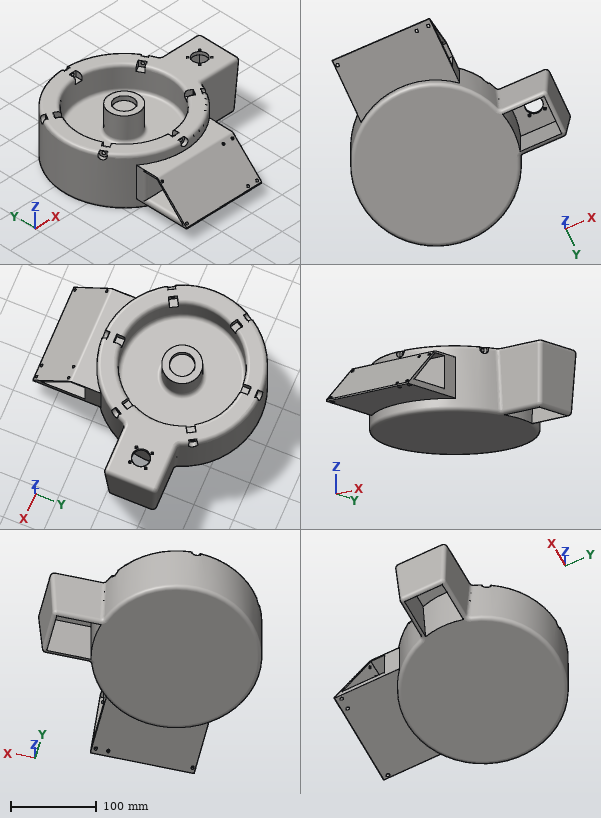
import cadquery as cq
import math

body_radius = 100.0
body_height = 80.0
edge_radius = 5.0

bowl_radius = 150.0 / 2
bowl_depth = body_height / 2
boss_radius = 48.0 / 2
boss_bore_diameter = 30.0
boss_bore_depth = 7.0

screw_count = 6
screw_first_angle = 30
screw_depth_below_rim = 3.5
screw_hole_diameter = 4.2
screw_head_diameter = 11.0
screw_seat_radius = 94.0
nut_notch_width = 10.5
nut_notch_outer_radius = 85.0
nut_notch_depth = 9.2

arm_reach = 159.5
arm_width = 68.3
arm_draft = 3
arm_wall = 5.0
arm_hole_x = 125.5
arm_hole_diameter = 22.0
arm_screw_spacing = 20.0
arm_screw_diameter = 3.2

console_left = -60.1
console_width = 125.0
console_height = 50
console_front = 162.5
console_tip_height = 1.97
console_wall = 2.5
console_opening_back = 91.5
panel_thickness_top = 2.23
panel_thickness_bottom = 3.5
panel_screw_diameter = 3.5
panel_screw_columns = (-56.5, 45.2, 60.1)
panel_screw_heights = (20.0, 60.5)
panel_screw_depth = 8

console_bottom = (body_height - console_height) / 2
console_top = console_bottom + console_height
panel_bend_y = -console_front + console_height - console_tip_height
tunnel_floor = console_bottom + console_wall + edge_radius
tunnel_ceiling = console_top - console_wall
tunnel_back_y = -console_opening_back - edge_radius


def box_between(low, high):
    size = [b - a for a, b in zip(low, high)]
    return cq.Workplane("XY", origin=low).box(*size, centered=False)


def arm_block(inset, top):
    """Arm from the body axis outward, with its walls moved in by inset and its top at the given height."""
    shrink = inset + (body_height - top) * math.tan(math.radians(arm_draft))
    block = (
        cq.Workplane("XY", origin=(0, 0, top))
        .rect(2 * (arm_reach - shrink), arm_width - 2 * shrink)
        .extrude(-top, taper=arm_draft)
    )
    return block.intersect(box_between((0, -arm_width, 0), (arm_reach, arm_width, body_height)))


def round_body():
    return cq.Workplane("XY").circle(body_radius).extrude(body_height)


def round_upright_edges(solid, x):
    """Rounds the two upright edges nearest to the arm's sides at the given x."""
    near, far = [
        cq.selectors.NearestToPointSelector((x, side * arm_width / 2, body_height / 2))
        for side in (-1, 1)
    ]
    return solid.edges(near + far).fillet(edge_radius)


def body_with_arm():
    arm = round_upright_edges(arm_block(0, body_height), arm_reach)
    junction_x = math.sqrt(body_radius**2 - (arm_width / 2) ** 2)
    solid = round_upright_edges(round_body().union(arm), junction_x)
    return solid.faces(">Z or <Z").edges().fillet(edge_radius)


def bowl():
    """Ring-shaped hollow with rounded floor corners and a rounded-over rim."""
    floor = body_height - bowl_depth
    return (
        cq.Workplane("XZ")
        .moveTo(boss_radius, body_height)
        .lineTo(boss_radius, floor + edge_radius)
        .radiusArc((boss_radius + edge_radius, floor), -edge_radius)
        .lineTo(bowl_radius - edge_radius, floor)
        .radiusArc((bowl_radius, floor + edge_radius), -edge_radius)
        .lineTo(bowl_radius, body_height - edge_radius)
        .radiusArc((bowl_radius + edge_radius, body_height), edge_radius)
        .close()
        .revolve(360, (0, 0, 0), (0, 1, 0))
    )


def boss_bore():
    top = cq.Workplane("XY", origin=(0, 0, body_height))
    return top.circle(boss_bore_diameter / 2).extrude(-boss_bore_depth)


def rim_screw():
    """Screw hole, head seat and nut notch, lying along +X."""
    axis = cq.Workplane("YZ", origin=(0, 0, body_height - screw_depth_below_rim))
    hole_length = body_radius - bowl_radius
    hole = axis.workplane(offset=bowl_radius).circle(screw_hole_diameter / 2).extrude(hole_length)
    head_seat = axis.workplane(offset=screw_seat_radius).circle(screw_head_diameter / 2)
    head = head_seat.extrude(body_radius - screw_seat_radius)
    half_notch = nut_notch_width / 2
    notch = box_between(
        (bowl_radius - edge_radius, -half_notch, body_height - nut_notch_depth),
        (nut_notch_outer_radius, half_notch, body_height),
    )
    return hole.union(head).union(notch)


def console():
    block = (
        cq.Workplane("YZ", origin=(console_left, 0, 0))
        .moveTo(0, console_bottom)
        .lineTo(-console_front, console_bottom)
        .lineTo(-console_front, console_bottom + console_tip_height)
        .lineTo(panel_bend_y, console_top)
        .lineTo(0, console_top)
        .close()
        .extrude(console_width)
    )
    bend = cq.selectors.NearestToPointSelector((0, panel_bend_y, console_top))
    return block.edges(bend).fillet(edge_radius)


def console_tunnel():
    slant = math.sqrt(2)
    ceiling_y = panel_bend_y - console_wall + panel_thickness_top * slant
    floor_y = panel_bend_y - (console_top - tunnel_floor) + panel_thickness_bottom * slant
    outline = [
        (tunnel_back_y, tunnel_floor),
        (floor_y, tunnel_floor),
        (ceiling_y, tunnel_ceiling),
        (tunnel_back_y, tunnel_ceiling),
    ]
    side = cq.Workplane("YZ", origin=(console_left, 0, 0))
    return side.polyline(outline).close().extrude(console_width)


def round_console_lip(solid):
    """Rounds the floor and back edges of the opening at the left end."""
    floor_edge = cq.selectors.NearestToPointSelector((console_left, panel_bend_y, tunnel_floor))
    back_edge = cq.selectors.NearestToPointSelector((console_left, tunnel_back_y, body_height / 2))
    return solid.edges(floor_edge + back_edge).fillet(edge_radius)


def panel_screw_hole(x, z):
    surface_point = cq.Vector(x, panel_bend_y - (console_top - z), z)
    into_panel = cq.Vector(0, 1, -1)
    hole = cq.Solid.makeCylinder(panel_screw_diameter / 2, panel_screw_depth, surface_point, into_panel)
    return cq.Workplane(hole)


def arm_hollow():
    """Space under the top plate, outside the round body, with the holes through the plate."""
    plate_bottom = body_height - arm_wall
    plate = cq.Workplane("XY", origin=(arm_hole_x, 0, plate_bottom))
    main_hole = plate.circle(arm_hole_diameter / 2).extrude(arm_wall)
    screw_holes = (
        plate.rect(arm_screw_spacing, arm_screw_spacing, forConstruction=True)
        .vertices()
        .circle(arm_screw_diameter / 2)
        .extrude(arm_wall)
    )
    hollow = arm_block(arm_wall, plate_bottom).cut(round_body())
    return hollow.union(main_hole).union(screw_holes)


result = body_with_arm().union(console()).cut(console_tunnel())
result = round_console_lip(result)
result = result.cut(bowl()).cut(boss_bore()).cut(arm_hollow())

for index in range(screw_count):
    angle = screw_first_angle + index * 360 / screw_count
    result = result.cut(rim_screw().rotate((0, 0, 0), (0, 0, 1), angle))

for column in panel_screw_columns:
    for height in panel_screw_heights:
        result = result.cut(panel_screw_hole(column, height))